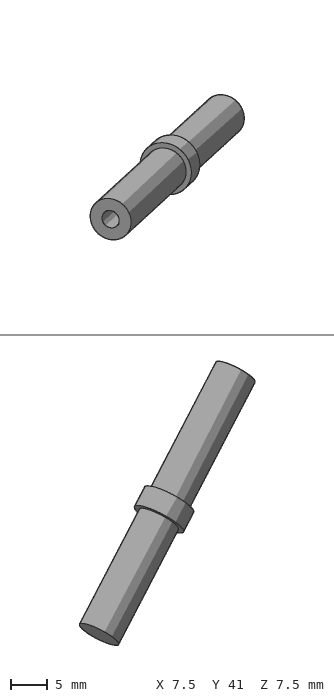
import cadquery as cq
import math

length = 41.0
shaft_diameter = 6.0
collar_diameter = 7.5
collar_width = 3.08
front_shaft_length = 19.93
hole_diameter = 2.5
hole_depth = 10.0
drill_tip_angle = 118.0

front_y = -length / 2
hole_radius = hole_diameter / 2
tip_depth = hole_radius / math.tan(math.radians(drill_tip_angle / 2))


def cylinder(diameter, start_y, height):
    """Solid cylinder on the Y axis, running from start_y toward +Y."""
    plane = cq.Plane(origin=(0, start_y, 0), xDir=(1, 0, 0), normal=(0, 1, 0))
    return cq.Workplane(plane).circle(diameter / 2).extrude(height)


def drilled_hole():
    """Blind hole with a conical bottom, opening at the -Y end."""
    hole_end_y = front_y + hole_depth
    return (
        cq.Workplane("XY")
        .moveTo(0, front_y)
        .lineTo(hole_radius, front_y)
        .lineTo(hole_radius, hole_end_y)
        .lineTo(0, hole_end_y + tip_depth)
        .close()
        .revolve(360, (0, 0, 0), (0, 1, 0))
    )


shaft = cylinder(shaft_diameter, front_y, length)
collar = cylinder(collar_diameter, front_y + front_shaft_length, collar_width)

result = shaft.union(collar).cut(drilled_hole())